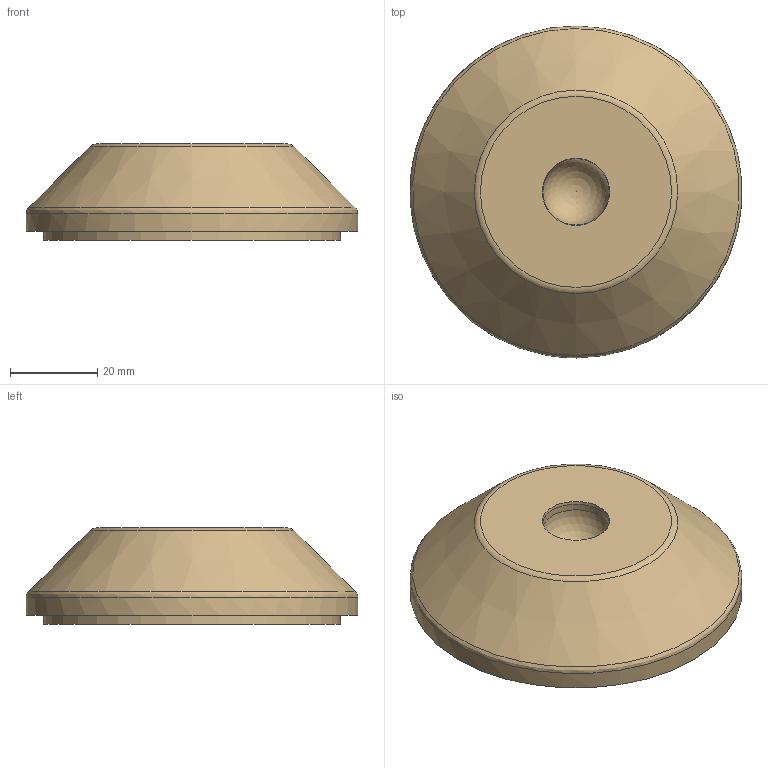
import cadquery as cq
import math

total_height = 22.0
spigot_radius = 34.0
spigot_height = 2.0
rim_radius = 38.0
rim_height = 4.9
top_radius = 22.7
edge_fillet = 2.0

recess_radius = 7.6
recess_wall_depth = 2.3
mouth_radius = 7.7
mouth_depth = 0.7

shoulder_z = spigot_height + rim_height


def make_body():
    """Spigot, rim and cone revolved about Z, with both cone edges rounded."""
    body = (
        cq.Workplane("YZ")
        .lineTo(-spigot_radius, 0)
        .lineTo(-spigot_radius, spigot_height)
        .lineTo(-rim_radius, spigot_height)
        .lineTo(-rim_radius, shoulder_z)
        .lineTo(-top_radius, total_height)
        .lineTo(0, total_height)
        .close()
        .revolve(360, (0, 0, 0), (0, 1, 0))
    )
    shoulder_band = cq.selectors.BoxSelector(
        (-rim_radius, -rim_radius, shoulder_z - edge_fillet),
        (rim_radius, rim_radius, shoulder_z + edge_fillet),
    )
    top_rim = cq.selectors.StringSyntaxSelector(">Z")
    return body.edges("%CIRCLE").edges(shoulder_band + top_rim).fillet(edge_fillet)


def make_recess():
    """Recess volume: slightly flared mouth, straight wall and hemispherical bottom."""
    sphere_center_z = total_height - recess_wall_depth
    bottom_z = sphere_center_z - recess_radius
    arc_middle = recess_radius * math.sqrt(0.5)
    return (
        cq.Workplane("YZ")
        .moveTo(0, bottom_z)
        .threePointArc((-arc_middle, sphere_center_z - arc_middle), (-recess_radius, sphere_center_z))
        .lineTo(-recess_radius, total_height - mouth_depth)
        .lineTo(-mouth_radius, total_height)
        .lineTo(0, total_height)
        .close()
        .revolve(360, (0, 0, 0), (0, 1, 0))
    )


result = make_body().cut(make_recess())